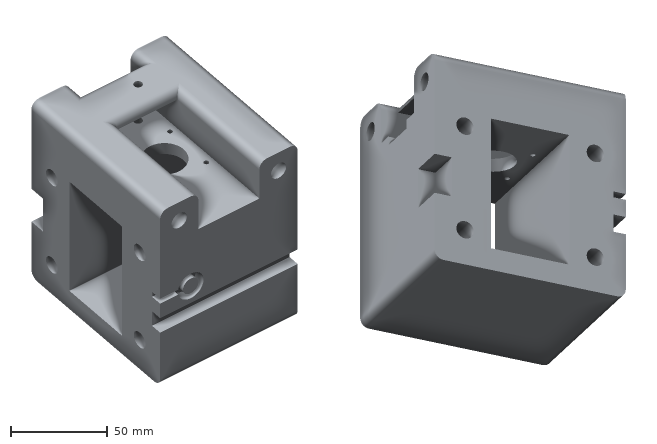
import cadquery as cq

length = 110.0
width = 90.0
height = 120.0
edge_radius = 5.0
mid_x = length / 2
mid_y = width / 2

channel_width = 40.0
channel_floor = 95.0
bridge_thickness = edge_radius
bridge_start = 10.0
bridge_end = 40.0

latch_length = 10.0
latch_width = 22.0
latch_depth = 5.0

window_width = 45.0
window_height = 75.0
window_center_z = 50.0
bolt_diameter = 10.0
bolt_spacing_x = 75.0
bolt_spacing_z = 60.0

rod_diameter = 10.0
rod_spacing = 65.0
rod_z = 107.5

shaft_diameter = 25.0
motor_screw_spacing = 31.0
motor_screw_diameter = 3.0

pin_diameter = 5.0
pin_x = 22.5
pin_y = 52.5
pin_bottom = window_center_z + bolt_spacing_z / 2

pocket_length = 10.0
pocket_depth = 20.0
pocket_bottom = 37.8
pocket_height = 22.5

groove_depth = 7.0
wide_groove_bottom = 37.0
wide_groove_height = 10.0
slit_bottom = 56.9
slit_height = 3.4
post_radius = 5.0
post_y = 20.0


def box(x, y, z, size_x, size_y, size_z):
    """Box with its lowest corner at (x, y, z)."""
    return cq.Workplane("XY").box(size_x, size_y, size_z, centered=False).translate((x, y, z))


def rod_x(y, z, radius, start, size):
    """Cylinder along X."""
    return cq.Workplane("YZ", origin=(start, y, z)).circle(radius).extrude(size)


body = box(0, 0, 0, length, width, height)
body = body.faces(">Z").edges("|X").fillet(edge_radius)
body = body.faces("<Z").edges("|Y").fillet(edge_radius)

channel_y = mid_y - channel_width / 2
channel_depth = height - channel_floor
body = body.cut(box(0, channel_y, channel_floor, bridge_start, channel_width, channel_depth))
body = body.cut(
    box(bridge_end, channel_y, channel_floor, length - bridge_end, channel_width, channel_depth)
)
rim_margin = 1.2
rim_selector = cq.selectors.BoxSelector(
    (-rim_margin, channel_y - rim_margin, height - rim_margin),
    (length + rim_margin, channel_y + channel_width + rim_margin, height + rim_margin),
)
end_edges = body.faces("<X or >X").edges().vals()
rim = body.faces(">Z").edges(rim_selector).filter(lambda edge: edge not in end_edges)
body = rim.fillet(edge_radius)

body = body.cut(
    box(0, channel_y, channel_floor, length, channel_width, channel_depth - bridge_thickness)
)
body = body.cut(
    box(0, mid_y - latch_width / 2, channel_floor - latch_depth, latch_length, latch_width, latch_depth)
)

body = body.cut(
    box(
        mid_x - window_width / 2, 0, window_center_z - window_height / 2,
        window_width, width, window_height,
    )
)
bolts = (
    cq.Workplane("XZ", origin=(mid_x, 0, window_center_z))
    .rarray(bolt_spacing_x, bolt_spacing_z, 2, 2)
    .circle(bolt_diameter / 2)
    .extrude(-width)
)
body = body.cut(bolts)

for side in (-1, 1):
    body = body.cut(rod_x(mid_y + side * rod_spacing / 2, rod_z, rod_diameter / 2, 0, length))

motor_seat = cq.Workplane("XY", origin=(mid_x, mid_y, channel_floor))
seat_thickness = channel_floor - (window_center_z + window_height / 2)
body = body.cut(motor_seat.circle(shaft_diameter / 2).extrude(-seat_thickness))
body = body.cut(
    motor_seat.rarray(motor_screw_spacing, motor_screw_spacing, 2, 2)
    .circle(motor_screw_diameter / 2)
    .extrude(-seat_thickness)
)

pin = cq.Workplane("XY", origin=(pin_x, pin_y, pin_bottom)).circle(pin_diameter / 2)
body = body.cut(pin.extrude(height - pin_bottom))

body = body.cut(box(0, 0, pocket_bottom, pocket_length, pocket_depth, pocket_height))

groove_x = length - groove_depth
body = body.cut(box(groove_x, 0, wide_groove_bottom, groove_depth, width, wide_groove_height))
post_z = slit_bottom + slit_height / 2
post = rod_x(post_y, post_z, post_radius, groove_x, groove_depth)
ring = rod_x(post_y, post_z, post_radius + slit_height, groove_x, groove_depth)
slit = box(groove_x, 0, slit_bottom, groove_depth, post_y, slit_height)
body = body.cut(ring.union(slit).cut(post))

result = body